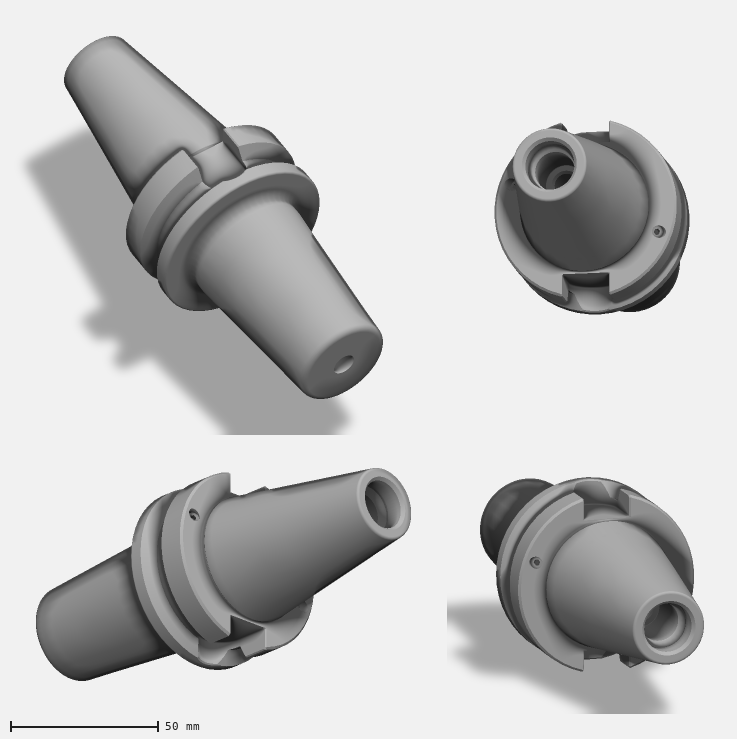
import cadquery as cq
import math

LENGTH = 155.4

TAPER_RATIO = 7 / 24
GAUGE_X = 65.5
GAUGE_DIA = 44.5
TAPER_END_ROUND = 1.0
RELIEF_DIA = 44.0
RELIEF_SLOPE_WIDTH = 0.3
RELIEF_FILLET = 0.6

FLANGE_DIA = 63.0
FLANGE_FRONT_X = 67.1
FLANGE_REAR_X = 92.3
FLANGE_FRONT_CHAMFER = 0.8
FLANGE_REAR_ROUND = 0.8
GROOVE_DIA = 53.2
GROOVE_CENTER_X = 82.0
GROOVE_FLOOR_WIDTH = 4.7
GROOVE_FLANK_ANGLE = 30.0
GROOVE_OPEN_MARGIN = 1.5

SLOT_WIDTH = 16.2
SLOT_END_X = 88.3
SLOT_FLOOR_Z = 22.7
SLOT_FLOOR_FILLET = 0.5
SLOT_EDGE_CHAMFER = 0.5

NOSE_DIA = 42.0
NOSE_END_DIA = 33.1
NOSE_STRAIGHT_END_X = 97.9
NOSE_ROOT_FILLET = 2.8
NOSE_END_ROUND = 2.0

BORE_MOUTH_DIA = 19.0
PILOT_DIA = 17.0
PILOT_END_X = 7.3
UNDERCUT_DIA = 17.5
UNDERCUT_WIDTH = 1.1
MOUTH_CONE_ANGLE = 40.0
THREAD_CONE_ANGLE = 40.0
THREAD_DIA = 13.7
THREAD_END_X = 31.1
THREAD_END_CHAMFER = 0.2
SEAT_DIA = 9.8
SEAT_DEPTH = 1.0
CHANNEL_DIA = 8.1

COOLANT_DIA = 4.2
COOLANT_RADIUS = 27.0
COOLANT_ANGLE = 20.0
COOLANT_TILT = 32.0
PLUG_DEPTH = 1.9
PLUG_LENGTH = 4.0
PLUG_SOCKET_WIDTH = 2.0
PLUG_SOCKET_DEPTH = 1.9

HALF_TURNS = (0, 180)

TOLERANCE = 0.002


def housing_blank():
    """Solid of revolution: taper, relief, plain flange and nose."""
    flange_r = FLANGE_DIA / 2
    nose_r = NOSE_DIA / 2
    taper_end_r = (GAUGE_DIA - GAUGE_X * TAPER_RATIO) / 2
    relief_r = RELIEF_DIA / 2

    profile = (
        cq.Workplane("XY")
        .moveTo(0, 0)
        .lineTo(0, taper_end_r)
        .lineTo(GAUGE_X, GAUGE_DIA / 2)
        .lineTo(GAUGE_X + RELIEF_SLOPE_WIDTH, relief_r)
        .lineTo(FLANGE_FRONT_X - RELIEF_FILLET, relief_r)
        .radiusArc((FLANGE_FRONT_X, relief_r + RELIEF_FILLET), -RELIEF_FILLET)
        .lineTo(FLANGE_FRONT_X, flange_r - FLANGE_FRONT_CHAMFER)
        .lineTo(FLANGE_FRONT_X + FLANGE_FRONT_CHAMFER, flange_r)
        .lineTo(FLANGE_REAR_X - FLANGE_REAR_ROUND, flange_r)
        .radiusArc((FLANGE_REAR_X, flange_r - FLANGE_REAR_ROUND), FLANGE_REAR_ROUND)
        .lineTo(FLANGE_REAR_X, nose_r + NOSE_ROOT_FILLET)
        .radiusArc((FLANGE_REAR_X + NOSE_ROOT_FILLET, nose_r), -NOSE_ROOT_FILLET)
        .lineTo(NOSE_STRAIGHT_END_X, nose_r)
        .lineTo(LENGTH, NOSE_END_DIA / 2)
        .lineTo(LENGTH, 0)
        .close()
    )
    blank = profile.revolve(360, (0, 0, 0), (1, 0, 0))
    blank = blank.faces("<X").edges().fillet(TAPER_END_ROUND)
    return blank.faces(">X").edges().fillet(NOSE_END_ROUND)


def groove_cutter():
    """V-shaped gripper groove around the flange, open a little beyond the flange surface."""
    groove_r = GROOVE_DIA / 2
    open_r = FLANGE_DIA / 2 + GROOVE_OPEN_MARGIN
    floor_half = GROOVE_FLOOR_WIDTH / 2
    open_half = floor_half + (open_r - groove_r) * math.tan(math.radians(GROOVE_FLANK_ANGLE))
    return (
        cq.Workplane("XY")
        .polyline(
            [
                (GROOVE_CENTER_X - open_half, open_r),
                (GROOVE_CENTER_X - floor_half, groove_r),
                (GROOVE_CENTER_X + floor_half, groove_r),
                (GROOVE_CENTER_X + open_half, open_r),
            ]
        )
        .close()
        .revolve(360, (0, 0, 0), (1, 0, 0))
    )


def bore_cutter():
    """Pull-stud bore: mouth cone, pilot, undercut, threaded length, seat and through channel."""
    mouth_r = BORE_MOUTH_DIA / 2
    pilot_r = PILOT_DIA / 2
    undercut_r = UNDERCUT_DIA / 2
    thread_r = THREAD_DIA / 2
    channel_r = CHANNEL_DIA / 2
    mouth_cone_length = (mouth_r - pilot_r) / math.tan(math.radians(MOUTH_CONE_ANGLE))
    thread_cone_length = (undercut_r - thread_r) / math.tan(math.radians(THREAD_CONE_ANGLE))
    undercut_end_x = PILOT_END_X + UNDERCUT_WIDTH
    thread_start_x = undercut_end_x + thread_cone_length
    return (
        cq.Workplane("XY")
        .polyline(
            [
                (0, 0),
                (0, mouth_r),
                (mouth_cone_length, pilot_r),
                (PILOT_END_X, pilot_r),
                (PILOT_END_X, undercut_r),
                (undercut_end_x, undercut_r),
                (thread_start_x, thread_r),
                (THREAD_END_X - THREAD_END_CHAMFER, thread_r),
                (THREAD_END_X, thread_r - THREAD_END_CHAMFER),
                (THREAD_END_X, SEAT_DIA / 2),
                (THREAD_END_X + SEAT_DEPTH, channel_r),
                (LENGTH, channel_r),
                (LENGTH, 0),
            ]
        )
        .close()
        .revolve(360, (0, 0, 0), (1, 0, 0))
    )


def slot_cutter():
    """Round-ended drive slot above the taper, open to the flange front."""
    round_center_x = SLOT_END_X - SLOT_WIDTH / 2
    straight_start_x = GAUGE_X - SLOT_WIDTH
    return (
        cq.Workplane("XY", origin=(0, 0, SLOT_FLOOR_Z))
        .moveTo(straight_start_x, -SLOT_WIDTH / 2)
        .lineTo(round_center_x, -SLOT_WIDTH / 2)
        .threePointArc((SLOT_END_X, 0), (round_center_x, SLOT_WIDTH / 2))
        .lineTo(straight_start_x, SLOT_WIDTH / 2)
        .close()
        .extrude(FLANGE_DIA / 2)
    )


def slot_wall_edges(body, on_floor):
    """Edges that bound the slot walls: those along the floor, or the rims above it."""
    round_center_x = SLOT_END_X - SLOT_WIDTH / 2
    found = []
    for edge in body.edges().vals():
        points = [edge.positionAt(fraction) for fraction in (0, 0.5, 1)]
        offsets = [math.hypot(max(p.x - round_center_x, 0), p.y) - SLOT_WIDTH / 2 for p in points]
        if max(abs(offset) for offset in offsets) > TOLERANCE:
            continue
        is_floor_edge = all(abs(abs(p.z) - SLOT_FLOOR_Z) < TOLERANCE for p in points)
        is_round_start = abs(points[1].x - round_center_x) < TOLERANCE
        above_floor = min(abs(p.z) for p in points) >= SLOT_FLOOR_Z - TOLERANCE
        is_rim = above_floor and not is_floor_edge and not is_round_start
        if (on_floor and is_floor_edge) or (not on_floor and is_rim):
            found.append(edge)
    return body.newObject(found)


def coolant_plane(turn):
    """Plane at a coolant hole's mouth; its normal runs out of the hole along the slanted axis."""
    angle = math.radians(COOLANT_ANGLE + turn)
    tilt = math.radians(COOLANT_TILT)
    outward_y = math.cos(angle)
    outward_z = math.sin(angle)
    mouth = (FLANGE_FRONT_X, COOLANT_RADIUS * outward_y, COOLANT_RADIUS * outward_z)
    normal = (-math.cos(tilt), math.sin(tilt) * outward_y, math.sin(tilt) * outward_z)
    return cq.Plane(origin=mouth, xDir=(0, -outward_z, outward_y), normal=normal)


def coolant_hole_cutter(turn):
    """Blind slanted hole that ends at the back of its plug."""
    depth = PLUG_DEPTH + PLUG_LENGTH
    return (
        cq.Workplane(coolant_plane(turn))
        .workplane(offset=-depth)
        .circle(COOLANT_DIA / 2)
        .extrude(depth + COOLANT_DIA)
    )


def plug_screw(turn):
    """Headless screw with a hexagon socket, sunk in a coolant hole."""
    socket_corner_dia = PLUG_SOCKET_WIDTH / math.cos(math.pi / 6)
    face = cq.Workplane(coolant_plane(turn)).workplane(offset=-PLUG_DEPTH)
    socket = face.polygon(6, socket_corner_dia).extrude(-PLUG_SOCKET_DEPTH)
    return face.circle(COOLANT_DIA / 2).extrude(-PLUG_LENGTH).cut(socket)


housing = housing_blank().cut(bore_cutter())
for turn in HALF_TURNS:
    housing = housing.cut(slot_cutter().rotate((0, 0, 0), (1, 0, 0), turn))
housing = slot_wall_edges(housing, on_floor=False).chamfer(SLOT_EDGE_CHAMFER)
housing = slot_wall_edges(housing, on_floor=True).fillet(SLOT_FLOOR_FILLET)
housing = housing.cut(groove_cutter())
for turn in HALF_TURNS:
    housing = housing.cut(coolant_hole_cutter(turn))

plug_screws = [plug_screw(turn) for turn in HALF_TURNS]

result = cq.Compound.makeCompound([housing.val(), *[screw.val() for screw in plug_screws]])